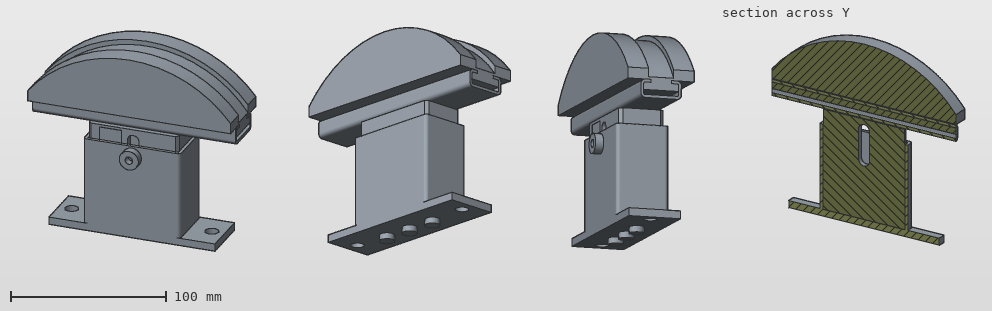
import cadquery as cq
import math


plate_length = 114.5
plate_width = 35.1
plate_thickness = 5.2
plate_bottom = 4.0
plate_top = plate_bottom + plate_thickness
mount_hole_diameter = 9.0
mount_hole_inset = 9.0

stud_diameter = 10.0
stud_pitch = 21.0
stud_count = 3

wall = 2.4
tube_length = 66.9
tube_top = 68.9

slider_length = tube_length - 2 * wall
slider_width = plate_width - 2 * wall
slider_top = 79.5
slider_chamfer_x = 2.0
slider_chamfer_y = 2.4

slot_width = 8.0
slot_depth = 5.0
slot_top = 75.5

label_width = 15.3
label_depth = 0.21
label_center_x = -15.7
label_top = 77.7

collar_diameter = 13.2
collar_length = 5.5
collar_bore = 5.0
collar_z = 61.0

rail_width = 27.6
rail_height = 12.0
rail_wall = 2.0
rail_corner_radius = 3.0
rail_top = slider_top + rail_height
rail_inner_width = rail_width - 2 * rail_wall

shoe_length = 140.0
shoe_width = 45.0
shoe_radius = 90.0
shoe_edge_height = 7.1
groove_width = 17.0
groove_depth = 3.4
stem_width = 14.0
foot_height = 4.9


def box(length, width, bottom, top):
    """A block centred on X = 0 and Y = 0, from one height to another."""
    return cq.Workplane("XY").box(length, width, top - bottom, (True, True, False)).translate((0, 0, bottom))


def make_housing():
    """Foot plate with guide studs below it and an open-topped tube above it."""
    plate = box(plate_length, plate_width, plate_bottom, plate_top)
    tube = box(tube_length, plate_width, plate_top, tube_top).edges("|Z").fillet(wall)
    cavity = box(slider_length, slider_width, plate_top, tube_top)
    studs = (
        cq.Workplane("XY")
        .rarray(stud_pitch, 1.4, stud_count, 1)
        .circle(stud_diameter / 2)
        .extrude(plate_bottom)
    )
    mount_holes = (
        cq.Workplane("XY")
        .rarray(plate_length - 2 * mount_hole_inset, 1.4, 2, 1)
        .circle(mount_hole_diameter / 2)
        .extrude(plate_top)
    )
    return plate.union(tube).cut(cavity).union(studs).cut(mount_holes)


def make_slider():
    """Chamfered block that fills the tube and carries the rail."""
    half_x = slider_length / 2
    half_y = slider_width / 2
    inner_x = half_x - slider_chamfer_x
    inner_y = half_y - slider_chamfer_y
    section = [
        (inner_x, half_y),
        (half_x, inner_y),
        (half_x, -inner_y),
        (inner_x, -half_y),
        (-inner_x, -half_y),
        (-half_x, -inner_y),
        (-half_x, inner_y),
        (-inner_x, half_y),
    ]
    block = cq.Workplane("XY").workplane(offset=plate_top).polyline(section).close()
    block = block.extrude(slider_top - plate_top)

    slot_length = 2 * (slot_top - collar_z)
    slot = (
        cq.Workplane("XZ", origin=(0, -half_y + slot_depth, collar_z))
        .slot2D(slot_length, slot_width, 90)
        .extrude(slot_depth)
    )
    label = box(label_width, label_depth, label_top - label_width, label_top)
    label = label.translate((label_center_x, (label_depth - slider_width) / 2, 0))
    return block.cut(slot).cut(label)


def make_collar():
    """Ring against the housing's front face."""
    return (
        cq.Workplane("XZ", origin=(0, -plate_width / 2, collar_z))
        .circle(collar_diameter / 2)
        .circle(collar_bore / 2)
        .extrude(collar_length)
    )


def make_rail():
    """Rounded C-channel, open along the top for the stem of the shoe."""
    outer = box(shoe_length, rail_width, slider_top, rail_top)
    outer = outer.edges("|X").fillet(rail_corner_radius)
    inner = box(shoe_length, rail_inner_width, slider_top + rail_wall, rail_top - rail_wall)
    inner = inner.edges("|X").fillet(rail_corner_radius - rail_wall)
    slit = box(shoe_length, stem_width, rail_top - rail_wall, rail_top)
    return outer.cut(inner).cut(slit)


def make_shoe():
    """Arched block with a round groove along its top and a T-shaped foot below."""
    half = shoe_length / 2
    edge_z = rail_top + shoe_edge_height
    arc_center_z = edge_z - math.sqrt(shoe_radius**2 - half**2)
    body = (
        cq.Workplane("XZ")
        .moveTo(-half, rail_top)
        .lineTo(-half, edge_z)
        .threePointArc((0, arc_center_z + shoe_radius), (half, edge_z))
        .lineTo(half, rail_top)
        .close()
        .extrude(shoe_width / 2, both=True)
    )
    groove = (
        cq.Workplane("XZ", origin=(0, 0, arc_center_z))
        .circle(shoe_radius + groove_depth)
        .circle(shoe_radius - groove_depth)
        .extrude(groove_width / 2, both=True)
    )
    foot_top = rail_top - rail_wall
    stem = box(shoe_length, stem_width, foot_top, rail_top)
    foot = box(shoe_length, rail_inner_width, foot_top - foot_height, foot_top)
    foot = foot.edges("|X and >Z").fillet(rail_corner_radius - rail_wall)
    return body.cut(groove).union(stem).union(foot)


housing = make_housing()
slider = make_slider()
collar = make_collar()
rail = make_rail()
shoe = make_shoe()

result = cq.Compound.makeCompound(
    [housing.val(), slider.val(), collar.val(), rail.val(), shoe.val()]
)